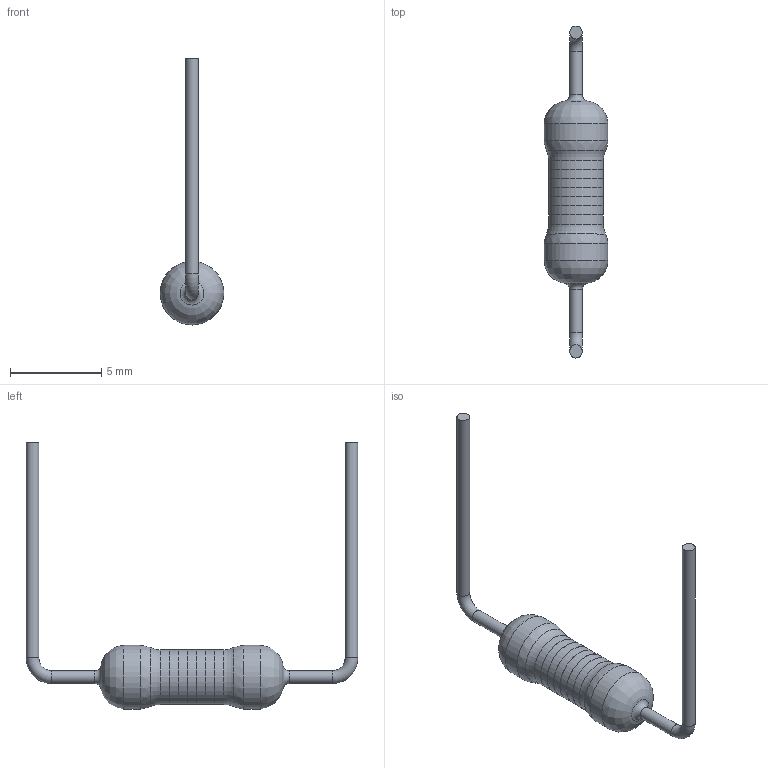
import cadquery as cq
import math

LEAD_DIAMETER = 0.7
LEAD_SPAN = 18.2
OVERALL_HEIGHT = 14.6
BODY_LENGTH = 10.0

CAP_DIAMETER = 3.5
WAIST_DIAMETER = 3.0
DOME_RADIUS = 1.25
SHOULDER_RADIUS = 1.25

GROOVE_DIAMETER = 2.98
BAND_WIDTH = 0.5
BAND_PITCH = 2 * BAND_WIDTH
BAND_COUNT = 4

lead_radius = LEAD_DIAMETER / 2
cap_radius = CAP_DIAMETER / 2
waist_radius = WAIST_DIAMETER / 2
bend_radius = 3 * lead_radius
root_radius = lead_radius
lead_y = LEAD_SPAN / 2 - lead_radius
lead_top = OVERALL_HEIGHT - cap_radius
waist_half = ((BAND_COUNT - 1) * BAND_PITCH + BAND_WIDTH) / 2


def between(start, end, fraction):
    """Point at the given fraction of the way from start to end."""
    return tuple(a + (b - a) * fraction for a, b in zip(start, end))


def toward(center, target, distance):
    """Point at a distance from center in the direction of target."""
    return between(center, target, distance / math.dist(center, target))


def arc_middle(center, start, end, radius):
    """Middle point of the short arc from start to end."""
    return toward(center, between(start, end, 0.5), radius)


def cap():
    """Cap from the +Y end of the waist outward, revolved; profile points are (radius, y)."""
    step = cap_radius - waist_radius
    shoulder_length = math.sqrt(4 * step * SHOULDER_RADIUS - step**2)
    waist_end = (waist_radius, waist_half)
    cap_start = (cap_radius, waist_half + shoulder_length)
    hollow_center = (waist_radius + SHOULDER_RADIUS, waist_end[1])
    crown_center = (cap_radius - SHOULDER_RADIUS, cap_start[1])
    inflection = between(waist_end, cap_start, 0.5)

    dome_center = (cap_radius - DOME_RADIUS, BODY_LENGTH / 2 - DOME_RADIUS)
    dome_start = (cap_radius, dome_center[1])
    root_center_radius = lead_radius + root_radius
    root_offset = root_center_radius - dome_center[0]
    root_rise = math.sqrt((DOME_RADIUS + root_radius) ** 2 - root_offset**2)
    root_center = (root_center_radius, dome_center[1] + root_rise)
    dome_end = toward(dome_center, root_center, DOME_RADIUS)
    root_end = (lead_radius, root_center[1])

    profile = (
        cq.Workplane("XY")
        .moveTo(0, waist_half)
        .lineTo(*waist_end)
        .threePointArc(arc_middle(hollow_center, waist_end, inflection, SHOULDER_RADIUS), inflection)
        .threePointArc(arc_middle(crown_center, inflection, cap_start, SHOULDER_RADIUS), cap_start)
        .lineTo(*dome_start)
        .threePointArc(arc_middle(dome_center, dome_start, dome_end, DOME_RADIUS), dome_end)
        .threePointArc(arc_middle(root_center, dome_end, root_end, root_radius), root_end)
        .lineTo(0, root_end[1])
        .close()
    )
    return profile.revolve(360, (0, 0, 0), (0, 1, 0))


def cylinder(diameter, y_start, length):
    """Cylinder on the body axis, running toward +Y from y_start."""
    return cq.Workplane("XZ", origin=(0, y_start, 0)).circle(diameter / 2).extrude(-length)


def lead():
    """Wire from inside the +Y cap, bent up to the +Z end."""
    wire_start = (waist_half + BODY_LENGTH / 2) / 2
    bend_start = lead_y - bend_radius
    bend_chord_depth = bend_radius * math.sqrt(0.5)
    bend_middle = (bend_start + bend_chord_depth, bend_radius - bend_chord_depth)
    path = (
        cq.Workplane("YZ")
        .moveTo(wire_start, 0)
        .lineTo(bend_start, 0)
        .threePointArc(bend_middle, (lead_y, bend_radius))
        .lineTo(lead_y, lead_top)
    )
    return cq.Workplane("XZ", origin=(0, wire_start, 0)).circle(lead_radius).sweep(path)


cap_with_lead = cap().union(lead())
waist = cylinder(GROOVE_DIAMETER, -waist_half, 2 * waist_half)
for index in range(BAND_COUNT):
    waist = waist.union(cylinder(WAIST_DIAMETER, index * BAND_PITCH - waist_half, BAND_WIDTH))

result = waist.union(cap_with_lead).union(cap_with_lead.mirror("XZ"))